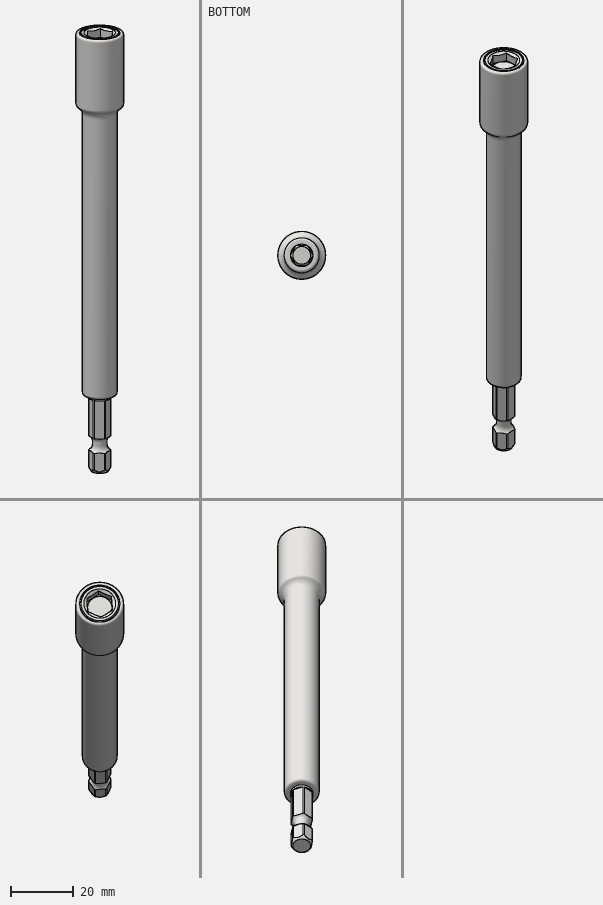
import cadquery as cq
import math

TOTAL_LENGTH = 150.0
SLEEVE_BOTTOM = 26.1
HEAD_BOTTOM = 126.0
HEAD_RADIUS = 15.5 / 2
STEM_RADIUS = 11.2 / 2
NECK_HEIGHT = 3.8
NECK_SHOULDER_RADIUS = 1.4
RIM_FILLET = 0.8
STEM_END_FILLET = 0.9

SOCKET_RADIUS = 6.5
SOCKET_LENGTH = 21.0
SOCKET_RIM_CHAMFER = 0.5
RECESS_FLATS = 8.0
RECESS_DEPTH = 3.3
RECESS_TURN_DEGREES = 30
LEAD_IN_RADIUS = 5.1
LEAD_IN_SLOPE = math.radians(30)
ROD_RADIUS = 3.6
SHANK_FLATS = 6.5
SHANK_TOP = 25.0
TIP_RADIUS = 2.8
TIP_CHAMFER_HEIGHT = 1.4

GROOVE_RADIUS = 2.4
GROOVE_FLOOR_BOTTOM = 9.0
GROOVE_FLOOR_TOP = 10.4
GROOVE_UPPER_FLARE = 1.8
GROOVE_LOWER_FLARE = 2.4

MAGNET_RADIUS = 3.9
MAGNET_LENGTH = 4.5

SOCKET_BOTTOM = TOTAL_LENGTH - SOCKET_LENGTH
RECESS_FLOOR = TOTAL_LENGTH - RECESS_DEPTH
MAGNET_BOTTOM = RECESS_FLOOR - MAGNET_LENGTH


def cylinder(radius, bottom, top):
    return cq.Workplane("XY").workplane(offset=bottom).circle(radius).extrude(top - bottom)


def hexagon_prism(across_flats, bottom, top):
    """Hexagonal prism on the Z axis with two corners on the X axis."""
    corner_diameter = across_flats / math.cos(math.pi / 6)
    return cq.Workplane("XY").workplane(offset=bottom).polygon(6, corner_diameter).extrude(top - bottom)


def revolve_about_z(profile):
    """Close a radius-height profile and turn it a full circle about Z."""
    return profile.close().revolve(360, (0, 0), (0, 1))


def sleeve_blank():
    """Solid outer shape; the neck is an S-curve of two tangent arcs, upright at both ends."""
    neck_bottom = HEAD_BOTTOM - NECK_HEIGHT
    neck_angle = 2 * math.atan((HEAD_RADIUS - STEM_RADIUS) / NECK_HEIGHT)
    neck_root_radius = NECK_HEIGHT / math.sin(neck_angle) - NECK_SHOULDER_RADIUS
    arc_junction = (
        HEAD_RADIUS - NECK_SHOULDER_RADIUS * (1 - math.cos(neck_angle)),
        HEAD_BOTTOM - NECK_SHOULDER_RADIUS * math.sin(neck_angle),
    )
    return revolve_about_z(
        cq.Workplane("XZ")
        .moveTo(0, SLEEVE_BOTTOM)
        .lineTo(STEM_RADIUS - STEM_END_FILLET, SLEEVE_BOTTOM)
        .radiusArc((STEM_RADIUS, SLEEVE_BOTTOM + STEM_END_FILLET), -STEM_END_FILLET)
        .lineTo(STEM_RADIUS, neck_bottom)
        .radiusArc(arc_junction, neck_root_radius)
        .radiusArc((HEAD_RADIUS, HEAD_BOTTOM), -NECK_SHOULDER_RADIUS)
        .lineTo(HEAD_RADIUS, TOTAL_LENGTH - RIM_FILLET)
        .radiusArc((HEAD_RADIUS - RIM_FILLET, TOTAL_LENGTH), -RIM_FILLET)
        .lineTo(0, TOTAL_LENGTH)
    )


def make_sleeve():
    socket_bore = cylinder(SOCKET_RADIUS, SOCKET_BOTTOM, TOTAL_LENGTH)
    rod_bore = cylinder(ROD_RADIUS, SLEEVE_BOTTOM, SOCKET_BOTTOM)
    return sleeve_blank().cut(socket_bore).cut(rod_bore)


def core_blank():
    """Round socket head on the rod, with the drive tip tapered."""
    return revolve_about_z(
        cq.Workplane("XZ")
        .lineTo(TIP_RADIUS, 0)
        .lineTo(ROD_RADIUS, TIP_CHAMFER_HEIGHT)
        .lineTo(ROD_RADIUS, SOCKET_BOTTOM)
        .lineTo(SOCKET_RADIUS, SOCKET_BOTTOM)
        .lineTo(SOCKET_RADIUS, TOTAL_LENGTH - SOCKET_RIM_CHAMFER)
        .lineTo(SOCKET_RADIUS - SOCKET_RIM_CHAMFER, TOTAL_LENGTH)
        .lineTo(0, TOTAL_LENGTH)
    )


def shank_flats_cutter():
    """Ring of material outside the hexagon, over the height of the shank."""
    return cylinder(2 * ROD_RADIUS, 0, SHANK_TOP).cut(hexagon_prism(SHANK_FLATS, 0, SHANK_TOP))


def shank_groove():
    upper_end = (GROOVE_RADIUS + GROOVE_UPPER_FLARE, GROOVE_FLOOR_TOP + GROOVE_UPPER_FLARE)
    lower_end = (GROOVE_RADIUS + GROOVE_LOWER_FLARE, GROOVE_FLOOR_BOTTOM - GROOVE_LOWER_FLARE)
    return revolve_about_z(
        cq.Workplane("XZ")
        .moveTo(GROOVE_RADIUS, GROOVE_FLOOR_BOTTOM)
        .lineTo(GROOVE_RADIUS, GROOVE_FLOOR_TOP)
        .radiusArc(upper_end, GROOVE_UPPER_FLARE)
        .lineTo(*lower_end)
        .radiusArc((GROOVE_RADIUS, GROOVE_FLOOR_BOTTOM), GROOVE_LOWER_FLARE)
    )


def nut_recess():
    """Hexagonal pocket with two corners on the Y axis and a conical lead-in."""
    pocket = hexagon_prism(RECESS_FLATS, RECESS_FLOOR, TOTAL_LENGTH)
    pocket = pocket.rotate((0, 0, 0), (0, 0, 1), RECESS_TURN_DEGREES)
    flat_radius = RECESS_FLATS / 2
    lead_in_bottom = TOTAL_LENGTH - (LEAD_IN_RADIUS - flat_radius) * math.tan(LEAD_IN_SLOPE)
    lead_in = revolve_about_z(
        cq.Workplane("XZ")
        .moveTo(0, lead_in_bottom)
        .lineTo(flat_radius, lead_in_bottom)
        .lineTo(LEAD_IN_RADIUS, TOTAL_LENGTH)
        .lineTo(0, TOTAL_LENGTH)
    )
    return pocket.union(lead_in)


def make_magnet():
    return cylinder(MAGNET_RADIUS, MAGNET_BOTTOM, RECESS_FLOOR)


def make_core():
    return (
        core_blank()
        .cut(shank_flats_cutter())
        .cut(shank_groove())
        .cut(nut_recess())
        .cut(make_magnet())
    )


sleeve = make_sleeve()
core = make_core()
magnet = make_magnet()

bodies = [sleeve, core, magnet]
result = cq.Compound.makeCompound([body.solids().val() for body in bodies])